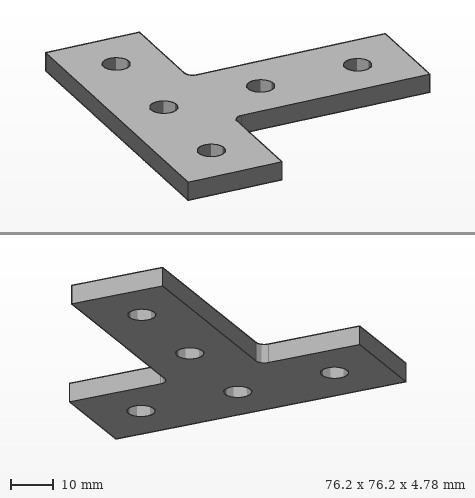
import cadquery as cq

plate_width = 76.2
plate_length = 76.2
thickness = 4.78

crossbar_depth = 24.6
stem_width = 23.9
inner_corner_radius = 2.2

hole_diameter = 6.6
hole_pitch = 25.4
hole_row_offset = 12.3


def make_plate():
    """T-shaped plate, centred on X, with its outer crossbar edge at Y = 0."""
    crossbar = cq.Workplane("XY").rect(plate_width, crossbar_depth).extrude(thickness)
    crossbar = crossbar.translate((0, crossbar_depth / 2, 0))
    stem = cq.Workplane("XY").rect(stem_width, plate_length).extrude(thickness)
    stem = stem.translate((0, plate_length / 2, 0))
    return crossbar.union(stem).clean()


def round_inner_corners(plate):
    """Fillet the two upright edges where the stem meets the crossbar."""
    for side in (-1, 1):
        corner = (side * stem_width / 2, crossbar_depth, thickness / 2)
        edge = cq.selectors.NearestToPointSelector(corner)
        plate = plate.edges("|Z").edges(edge).fillet(inner_corner_radius)
    return plate


def drill_holes(plate):
    """Three holes along the crossbar and two more up the stem, all through."""
    crossbar_holes = [(i * hole_pitch, hole_row_offset) for i in (-1, 0, 1)]
    stem_holes = [(0, hole_row_offset + i * hole_pitch) for i in (1, 2)]
    drills = (
        cq.Workplane("XY")
        .pushPoints(crossbar_holes + stem_holes)
        .circle(hole_diameter / 2)
        .extrude(thickness)
    )
    return plate.cut(drills)


result = drill_holes(round_inner_corners(make_plate()))